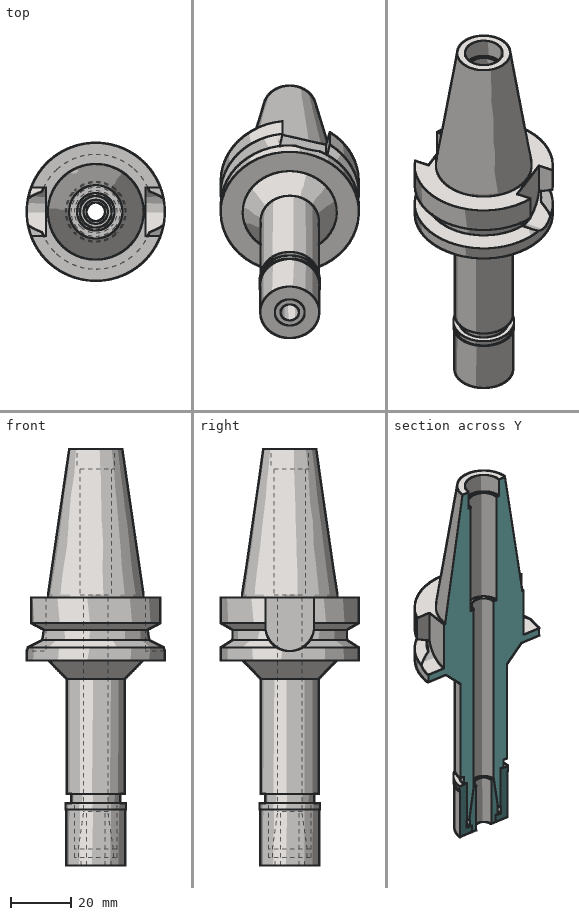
import cadquery as cq

total_height = 138.4

taper_length = 48.5
taper_large_radius = 15.9
taper_ratio = 7 / 24
taper_small_radius = taper_large_radius - taper_length * taper_ratio / 2
gauge_z = total_height - taper_length

flange_radius = 23.0
groove_radius = 19.1
flange_top_z = gauge_z - 0.8
upper_rim_bottom_z = 80.5
groove_top_z = 78.3
groove_bottom_z = 74.9
lower_rim_top_z = 72.5
flange_bottom_z = 68.1

slot_width = 16.2
slot_flat_x = 16.5
slot_bottom_z = 71.3

cone_large_radius = 15.6
body_radius = 9.7
cone_bottom_z = 62.0
body_bottom_z = 23.8
neck_radius = 8.2
nut_height = 20.8
spigot_radius = 7.0
spigot_bottom_z = 5.5

mouth_radius = 6.2
mouth_depth = 6.6
upper_bore_radius = 5.3
upper_bore_depth = taper_length
lower_bore_radius = 4.0

collet_height = 18.0
collet_large_radius = 5.8
collet_nose_radius = 5.0
collet_hole_radius = 3.0

nut_radius = 9.8
nut_collar_radius = 10.1
nut_collar_height = 2.1
nut_floor = 2.8


def revolve_profile(points):
    """Solid of revolution about Z from (radius, z) points."""
    return cq.Workplane("XZ").polyline(points).close().revolve(360, (0, 0), (0, 1))


def make_bore():
    """Stepped bore and, at its lower end, the conical seat of the collet."""
    mouth_floor_z = total_height - mouth_depth
    upper_bore_floor_z = total_height - upper_bore_depth
    return revolve_profile([
        (0, spigot_bottom_z),
        (collet_large_radius, spigot_bottom_z),
        (lower_bore_radius, collet_height),
        (lower_bore_radius, upper_bore_floor_z),
        (upper_bore_radius, upper_bore_floor_z),
        (upper_bore_radius, mouth_floor_z),
        (mouth_radius, mouth_floor_z),
        (mouth_radius, total_height),
        (0, total_height),
    ])


def make_drive_slot(side):
    """Round-bottomed slot cutter on the +X (side = 1) or -X (side = -1) side."""
    half_width = slot_width / 2
    arc_center_z = slot_bottom_z + half_width
    return (
        cq.Workplane("YZ", origin=(side * slot_flat_x, 0, 0))
        .moveTo(-half_width, flange_top_z)
        .lineTo(-half_width, arc_center_z)
        .threePointArc((0, slot_bottom_z), (half_width, arc_center_z))
        .lineTo(half_width, flange_top_z)
        .close()
        .extrude(side * flange_radius)
    )


def make_holder():
    """Tapered tool holder with flange, shank and a spigot for the nut."""
    holder = revolve_profile([
        (0, spigot_bottom_z),
        (spigot_radius, spigot_bottom_z),
        (spigot_radius, nut_height),
        (neck_radius, nut_height),
        (neck_radius, body_bottom_z),
        (body_radius, body_bottom_z),
        (body_radius, cone_bottom_z),
        (cone_large_radius, flange_bottom_z),
        (flange_radius, flange_bottom_z),
        (flange_radius, lower_rim_top_z),
        (groove_radius, groove_bottom_z),
        (groove_radius, groove_top_z),
        (flange_radius, upper_rim_bottom_z),
        (flange_radius, flange_top_z),
        (taper_large_radius, flange_top_z),
        (taper_large_radius, gauge_z),
        (taper_small_radius, total_height),
        (0, total_height),
    ])
    holder = holder.cut(make_bore())
    for side in (-1, 1):
        holder = holder.cut(make_drive_slot(side))
    return holder


def make_collet():
    """Conical collet that fills the seat of the holder and the hole of the nut."""
    return revolve_profile([
        (collet_hole_radius, 0),
        (collet_nose_radius, 0),
        (collet_nose_radius, nut_floor),
        (collet_large_radius, nut_floor),
        (collet_large_radius, spigot_bottom_z),
        (lower_bore_radius, collet_height),
        (collet_hole_radius, collet_height),
    ])


def make_nut():
    """Clamping nut with a thin collar at its upper end."""
    collar_bottom_z = nut_height - nut_collar_height
    return revolve_profile([
        (collet_nose_radius, 0),
        (nut_radius, 0),
        (nut_radius, collar_bottom_z),
        (nut_collar_radius, collar_bottom_z),
        (nut_collar_radius, nut_height),
        (spigot_radius, nut_height),
        (spigot_radius, nut_floor),
        (collet_nose_radius, nut_floor),
    ])


holder = make_holder()
collet = make_collet()
nut = make_nut()

result = cq.Compound.makeCompound([holder.val(), collet.val(), nut.val()])